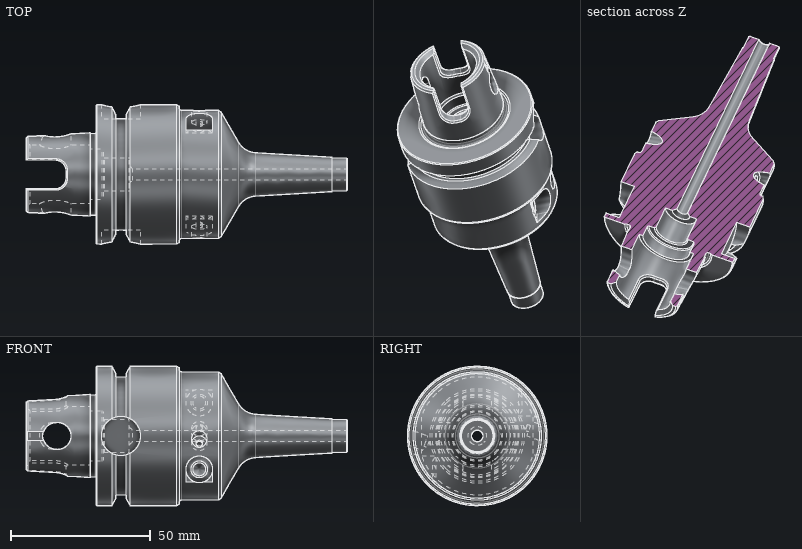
import cadquery as cq
import math

total_length = 115
flange_face_x = 25.0
rim_end_x = 30.7
groove_start_x = 32.1
groove_end_x = 35.8
body_start_x = 37.3
body_end_x = 54.9
tip_start_x = 109.5

body_radius = 50.0 / 2
groove_radius = 21.2
collar_radius = 23
tip_radius = 12.0 / 2
nose_start_radius = 7.8
nose_end_radius = 6.2
shank_end_radius = 13.8
shank_slope = 0.05

shank_edge = 0.7
flange_edge = 0.3
groove_bevel_depth = 2.5
body_edge_length = 1.0
body_edge_depth = 0.6
collar_root_radius = 0.8
collar_edge_length = 1.0
collar_edge_depth = 0.7
tip_edge = 0.3

relief_start_x = 22.9
relief_radius = 14.7
relief_root_radius = 0.7
face_recess_radius = 16.9
face_recess_inner_radius = 16.2
face_recess_depth = 0.3

cone_angle = math.radians(60)
nose_start_x = 82.1
blend_radius = 7.5

bore_radius = 10.5
mouth_radius = 12.0
mouth_depth = 1.4
bore_depth = 23
step_radius = 18.0 / 2
step_depth = 27.6
step_bevel = (18.0 - 17.2) / 2
pilot_radius = 12.0 / 2
pilot_depth = 36.8
pilot_edge = 0.5
coolant_entry_radius = 3.3
coolant_radius = 4.0 / 2

slot_width = 10.2
slot_depth = 14.3
slot_corner_radius = 3.9
slot_edge = 0.6

cross_hole_diameter = 9.5
cross_hole_x = 11.3
inner_hole_tilt = math.radians(20)
guide_width = 3.2
guide_radius = 13.6

flange_pocket_diameter = 14.0
flange_pocket_x = 33.9
flange_pocket_floor = 19.9

collar_feature_x = 62.0
screw_recess_width = 9.5
screw_recess_z = -12.0
screw_recess_floor = 16.0
screw_seat_depth = 1.2
screw_face_diameter = 6.0
screw_point_diameter = 4.6
set_hole_diameter = 5.5
set_hole_z = -1.0
set_hole_tilt = math.radians(20)
set_hole_depth = 4.6
set_socket_diameter = 2.3
set_socket_depth = 1.2
drill_half_angle = math.radians(59)


def bar(diameter, start, direction, length):
    """Round bar that runs from a start point along a direction."""
    return cq.Workplane(
        cq.Solid.makeCylinder(diameter / 2, length, cq.Vector(*start), cq.Vector(*direction))
    )


def cone(start_diameter, end_diameter, start, direction, length):
    """Cone that runs from a start point along a direction."""
    return cq.Workplane(
        cq.Solid.makeCone(
            start_diameter / 2, end_diameter / 2, length, cq.Vector(*start), cq.Vector(*direction)
        )
    )


def drill_point(diameter, start, direction):
    return cone(diameter, 0, start, direction, diameter / 2 / math.tan(drill_half_angle))


def half_turn(shape):
    return shape.rotate((0, 0, 0), (1, 0, 0), 180)


def turned_body():
    recess_floor_x = flange_face_x + face_recess_depth
    shank_root_radius = shank_end_radius + shank_slope * relief_start_x
    bevel_radius = body_radius - groove_bevel_depth
    cone_top_radius = collar_radius - collar_edge_depth

    nose_angle = math.atan((nose_start_radius - nose_end_radius) / (tip_start_x - nose_start_x))
    centre_x = nose_start_x + blend_radius * math.sin(nose_angle)
    centre_r = nose_start_radius + blend_radius * math.cos(nose_angle)

    def blend_point(angle):
        return (centre_x - blend_radius * math.sin(angle), centre_r - blend_radius * math.cos(angle))

    cone_foot = blend_point(cone_angle)
    cone_top_x = cone_foot[0] - (cone_top_radius - cone_foot[1]) / math.tan(cone_angle)

    return (
        cq.Workplane("XY")
        .moveTo(0, 0)
        .lineTo(0, shank_end_radius - shank_edge)
        .lineTo(shank_edge, shank_end_radius)
        .lineTo(relief_start_x, shank_root_radius)
        .lineTo(relief_start_x + shank_root_radius - relief_radius, relief_radius)
        .lineTo(recess_floor_x - relief_root_radius, relief_radius)
        .radiusArc((recess_floor_x, relief_radius + relief_root_radius), -relief_root_radius)
        .lineTo(recess_floor_x, face_recess_inner_radius)
        .lineTo(flange_face_x, face_recess_radius)
        .lineTo(flange_face_x, body_radius - flange_edge)
        .lineTo(flange_face_x + flange_edge, body_radius)
        .lineTo(rim_end_x, body_radius)
        .lineTo(groove_start_x, bevel_radius)
        .lineTo(groove_start_x, groove_radius)
        .lineTo(groove_end_x, groove_radius)
        .lineTo(groove_end_x, bevel_radius)
        .lineTo(body_start_x, body_radius)
        .lineTo(body_end_x - body_edge_length, body_radius)
        .lineTo(body_end_x, body_radius - body_edge_depth)
        .lineTo(body_end_x, collar_radius + collar_root_radius)
        .radiusArc((body_end_x + collar_root_radius, collar_radius), -collar_root_radius)
        .lineTo(cone_top_x - collar_edge_length, collar_radius)
        .lineTo(cone_top_x, cone_top_radius)
        .lineTo(*cone_foot)
        .threePointArc(blend_point((cone_angle + nose_angle) / 2), (nose_start_x, nose_start_radius))
        .lineTo(tip_start_x, nose_end_radius)
        .lineTo(tip_start_x, tip_radius)
        .lineTo(total_length - tip_edge, tip_radius)
        .lineTo(total_length, tip_radius - tip_edge)
        .lineTo(total_length, 0)
        .close()
        .revolve(360, (0, 0, 0), (1, 0, 0))
    )


def stepped_bore():
    return (
        cq.Workplane("XY")
        .moveTo(0, 0)
        .lineTo(0, mouth_radius)
        .lineTo(mouth_depth, bore_radius)
        .lineTo(bore_depth, bore_radius)
        .lineTo(bore_depth, step_radius)
        .lineTo(step_depth - step_bevel, step_radius)
        .lineTo(step_depth, step_radius - step_bevel)
        .lineTo(step_depth, pilot_radius + pilot_edge)
        .lineTo(step_depth + pilot_edge, pilot_radius)
        .lineTo(pilot_depth, pilot_radius)
        .lineTo(pilot_depth, coolant_entry_radius)
        .lineTo(pilot_depth + coolant_entry_radius - coolant_radius, coolant_radius)
        .lineTo(total_length, coolant_radius)
        .lineTo(total_length, 0)
        .close()
        .revolve(360, (0, 0, 0), (1, 0, 0))
    )


def drive_slots():
    return (
        cq.Workplane("XY")
        .rect(2 * slot_depth, slot_width)
        .extrude(shank_end_radius * 1.5, both=True)
        .edges("|Z and >X")
        .fillet(slot_corner_radius)
    )


def break_slot_edges(shape):
    """Chamfer the slot edges on the outside of the shank and on the bore."""
    reach = slot_width / 2
    zone = cq.selectors.BoxSelector(
        (mouth_depth, -reach, -shank_end_radius * 1.5), (slot_depth * 1.1, reach, shank_end_radius * 1.5),
        boundingbox=False,
    )
    return shape.edges(zone).edges("not |Z").chamfer(slot_edge)


def cross_hole():
    """Straight hole through one wall, relieved inside by a hole tilted toward the open end."""
    hole = bar(cross_hole_diameter, (cross_hole_x, 0, 0), (0, 1, 0), body_radius)
    outer_radius = shank_end_radius + shank_slope * cross_hole_x
    tilted = bar(
        cross_hole_diameter,
        (cross_hole_x, outer_radius, 0),
        (-math.sin(inner_hole_tilt), -math.cos(inner_hole_tilt), 0),
        outer_radius / 2,
    )
    guide_depth = body_radius - guide_radius
    guide = cq.Workplane("XY").box(cross_hole_x, guide_depth, guide_width, centered=(False, False, True))
    return hole.union(tilted).union(guide.translate((0, guide_radius, 0)))


def flange_pocket():
    start = (flange_pocket_x, flange_pocket_floor, 0)
    return bar(flange_pocket_diameter, start, (0, 1, 0), body_radius - flange_pocket_floor)


def screw_recess():
    """U-shaped recess that opens downward, with a conical screw face in a round seat."""
    inward = (0, 1, 0)
    face_centre = (collar_feature_x, -screw_recess_floor, screw_recess_z)
    seat_depth = body_radius - screw_recess_floor + screw_seat_depth
    seat = bar(screw_recess_width, (collar_feature_x, -body_radius, screw_recess_z), inward, seat_depth)
    opening = cq.Workplane("XY").box(
        screw_recess_width, body_radius - screw_recess_floor, body_radius + screw_recess_z,
        centered=(True, False, False),
    )
    opening = opening.translate((collar_feature_x, -body_radius, -body_radius))
    screw_head = cone(screw_face_diameter, screw_recess_width, face_centre, inward, screw_seat_depth)
    return seat.union(opening).cut(screw_head).union(drill_point(screw_point_diameter, face_centre, inward))


def set_hole():
    """Hole tilted toward the screw recess, with a small socket in its floor."""
    slope_y = math.cos(set_hole_tilt)
    slope_z = -math.sin(set_hole_tilt)
    inward = (0, slope_y, slope_z)

    def point_at(depth):
        return (collar_feature_x, depth * slope_y - collar_radius, set_hole_z + depth * slope_z)

    lead_in = set_hole_diameter / 2
    socket_end = set_hole_depth + set_socket_depth
    hole = bar(set_hole_diameter, point_at(-lead_in), inward, lead_in + set_hole_depth)
    socket = bar(set_socket_diameter, point_at(set_hole_depth), inward, set_socket_depth)
    return hole.union(socket).union(drill_point(set_socket_diameter, point_at(socket_end), inward))


result = break_slot_edges(turned_body().cut(stepped_bore()).cut(drive_slots()))
for feature in (cross_hole(), flange_pocket(), screw_recess(), set_hole()):
    result = result.cut(feature).cut(half_turn(feature))